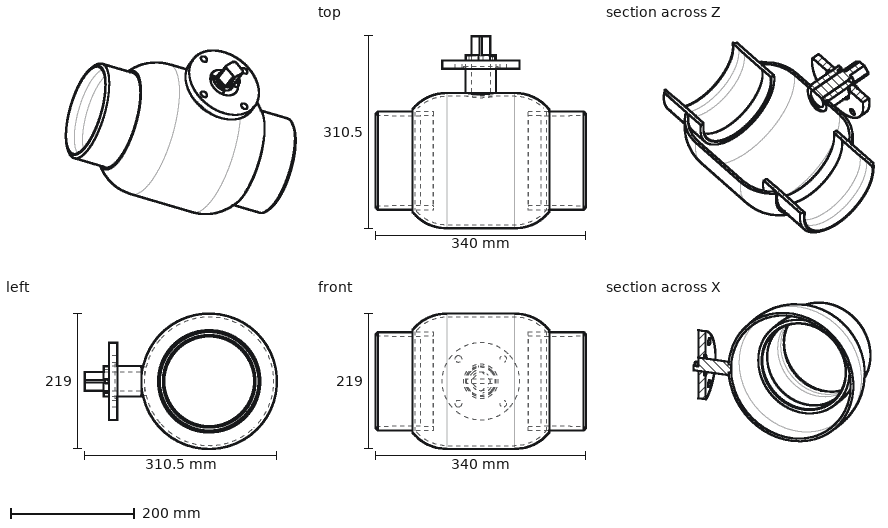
import cadquery as cq
import math


shell_radius = 109.5
shell_wall = 5.5
shell_inner_radius = shell_radius - shell_wall
shell_half_length = 110.5
shell_cylinder_half = 54.7
shoulder_radius = 71.5

pipe_outer_x = 170.0
pipe_inner_x = 76.0
pipe_radius = 79.5
pipe_bore_radius = 72.5
pipe_mouth_radius = 73.0
pipe_taper_start_x = 155.5
pipe_taper_end_x = 141.0
pipe_seat_radius = 72.8
pipe_seat_x = 97.0
seat_chamfer = 1.0
bevel_length = 4.0
bevel_depth = 4.8

neck_radius = 24.8
neck_base_y = shell_radius
neck_top_y = 170.5
spigot_radius = 22.8
spigot_base_y = shell_inner_radius
neck_mouth_radius = 19.0

flange_radius = 62.5
flange_thickness = 13.5
flange_top_y = 162.0
flange_recess_radius = 28.0
flange_recess_depth = 3.5
flange_hole_radius = 5.5
flange_hole_circle_radius = 51.0
flange_hole_count = 4

stem_radius = 15.3
stem_top_y = 201.0
square_side = 24.0
pin_radius = 3.5
pin_half_length = 23.0
stop_floor_y = flange_top_y
pin_y = stop_floor_y + pin_radius


def cylinder_y(radius, base_y, top_y):
    """Solid cylinder on the Y axis between two heights."""
    return cq.Workplane("XZ", origin=(0, base_y, 0)).circle(radius).extrude(base_y - top_y)


def cylinder_x(radius, half_length):
    """Solid cylinder on the X axis, centred on the origin."""
    return cq.Workplane("YZ").circle(radius).extrude(half_length, both=True)


def barrel(offset):
    """Solid barrel with rounded shoulders, set inside the shell's outer surface by the offset."""
    crown = shell_radius - offset
    arc_radius = shoulder_radius - offset
    arc_centre = shell_radius - shoulder_radius
    arc_run = shell_half_length - shell_cylinder_half
    half_run = arc_run / 2
    end_radius = arc_centre + math.sqrt(arc_radius**2 - arc_run**2)
    middle_radius = arc_centre + math.sqrt(arc_radius**2 - half_run**2)
    middle_x = shell_cylinder_half + half_run
    return (
        cq.Workplane("XY")
        .moveTo(-shell_half_length, 0)
        .lineTo(-shell_half_length, end_radius)
        .threePointArc((-middle_x, middle_radius), (-shell_cylinder_half, crown))
        .lineTo(shell_cylinder_half, crown)
        .threePointArc((middle_x, middle_radius), (shell_half_length, end_radius))
        .lineTo(shell_half_length, 0)
        .close()
        .revolve(360, (0, 0, 0), (1, 0, 0))
    )


def make_shell():
    """Hollow barrel, open at both ends for the pipes and on top for the neck spigot."""
    hollow = barrel(0).cut(barrel(shell_wall))
    pipe_openings = cylinder_x(pipe_radius, shell_half_length)
    neck_opening = cylinder_y(spigot_radius, 0, shell_radius)
    return hollow.cut(pipe_openings).cut(neck_opening)


def make_pipe(side):
    """Pipe with a bevelled rim, a tapered mouth and an inner seat recess; side is -1 or +1 along X."""
    profile = [
        (pipe_inner_x, pipe_seat_radius + seat_chamfer),
        (pipe_inner_x + seat_chamfer, pipe_seat_radius),
        (pipe_seat_x, pipe_seat_radius),
        (pipe_seat_x, pipe_bore_radius),
        (pipe_taper_end_x, pipe_bore_radius),
        (pipe_taper_start_x, pipe_mouth_radius),
        (pipe_outer_x, pipe_mouth_radius),
        (pipe_outer_x, pipe_radius - bevel_depth),
        (pipe_outer_x - bevel_length, pipe_radius),
        (pipe_inner_x, pipe_radius),
    ]
    outline = [(side * x, radius) for x, radius in profile]
    return cq.Workplane("XY").polyline(outline).close().revolve(360, (0, 0, 0), (1, 0, 0))


def stop_slot(side):
    """Cutter for one slot that lets one end of the pin swing a quarter turn, from X towards Z."""
    reach = 2 * neck_radius
    depth = neck_top_y - stop_floor_y
    size = reach + pin_radius
    centre = side * (reach - pin_radius) / 2
    return cq.Workplane("XY").box(size, depth, size).translate((centre, stop_floor_y + depth / 2, centre))


def make_neck():
    """Bored neck with a spigot into the shell and two opposite stop slots in its rim."""
    neck = cylinder_y(neck_radius, neck_base_y, neck_top_y)
    neck = neck.union(cylinder_y(spigot_radius, spigot_base_y, neck_base_y))
    neck = neck.cut(cylinder_y(stem_radius, spigot_base_y, neck_top_y))
    neck = neck.cut(cylinder_y(neck_mouth_radius, stop_floor_y, neck_top_y))
    for side in (-1, 1):
        neck = neck.cut(stop_slot(side))
    return neck


def make_flange():
    """Round flange on the neck with a recess round its lower rim and bolt holes on the diagonals."""
    base_y = flange_top_y - flange_thickness
    flange = cylinder_y(flange_radius, base_y, flange_top_y)
    flange = flange.cut(cylinder_y(neck_radius, base_y, flange_top_y))
    flange = flange.cut(cylinder_y(flange_recess_radius, base_y, base_y + flange_recess_depth))
    for index in range(flange_hole_count):
        angle = math.radians(45 + index * 360 / flange_hole_count)
        hole_x = flange_hole_circle_radius * math.cos(angle)
        hole_z = flange_hole_circle_radius * math.sin(angle)
        hole = cylinder_y(flange_hole_radius, base_y, flange_top_y)
        flange = flange.cut(hole.translate((hole_x, 0, hole_z)))
    return flange


def make_pin():
    """Stop pin along X through the stem."""
    return cylinder_x(pin_radius, pin_half_length).translate((0, pin_y, 0))


def make_stem():
    """Round stem whose top is a square set on its corners, with the corners left round."""
    square_height = stem_top_y - neck_top_y
    square = (
        cq.Workplane("XY")
        .box(square_side, square_height, square_side)
        .rotate((0, 0, 0), (0, 1, 0), 45)
        .translate((0, neck_top_y + square_height / 2, 0))
    )
    square = square.intersect(cylinder_y(stem_radius, neck_top_y, stem_top_y))
    stem = cylinder_y(stem_radius, spigot_base_y, neck_top_y).union(square)
    return stem.cut(make_pin())


shell = make_shell()
pipes = [make_pipe(side) for side in (-1, 1)]
neck = make_neck()
flange = make_flange()
stem = make_stem()
pin = make_pin()

result = cq.Compound.makeCompound(
    [
        shell.val(),
        *[pipe.val() for pipe in pipes],
        neck.val(),
        flange.val(),
        stem.val(),
        pin.val(),
    ]
)